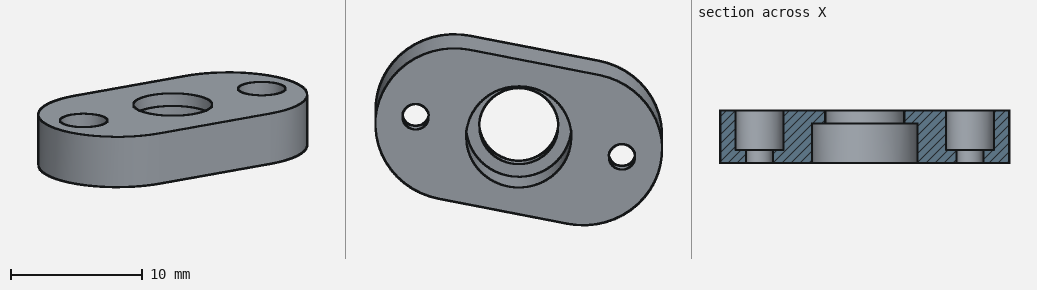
import cadquery as cq

length = 22.0
width = length * 6 / 11
thickness = length * 2 / 11

bore_diameter = width / 2
recess_diameter = width * 2 / 3
lip_thickness = thickness / 4

screw_spacing = length * 8 / 11
screw_diameter = width / 6
head_diameter = 3.6
head_depth = thickness * 3 / 4


def make_plate():
    return cq.Workplane("XY").slot2D(length, width, 90).extrude(thickness)


def cut_central_bore(body):
    bore = cq.Workplane("XY").circle(bore_diameter / 2).extrude(thickness)
    recess = cq.Workplane("XY").circle(recess_diameter / 2).extrude(thickness - lip_thickness)
    return body.cut(bore).cut(recess)


def cut_screw_holes(body):
    return (
        body.faces(">Z")
        .workplane(origin=(0, 0, thickness))
        .pushPoints([(0, -screw_spacing / 2), (0, screw_spacing / 2)])
        .cboreHole(screw_diameter, head_diameter, head_depth)
    )


result = cut_screw_holes(cut_central_bore(make_plate()))